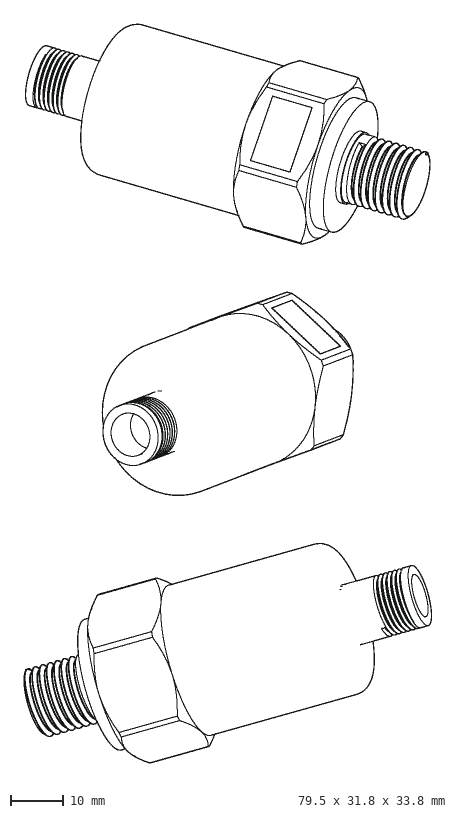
import cadquery as cq
import math


PLUG_DIA = 12.0
PLUG_BORE_DIA = 8.4
PLUG_BORE_DEPTH = 7.95
PLUG_ROOT_FILLET = 0.5
PLUG_LIP_END = 1.6
PLUG_THREAD_START = 1.3
PLUG_THREAD_PITCH = 0.95
PLUG_THREAD_DEPTH = 0.6
PLUG_THREAD_TURNS = 6.5

HOUSING_START = 14.5
HOUSING_DIA = 30.0
HOUSING_FILLET = 3.0

HEX_START = 47.55
HEX_LENGTH = 15.1
HEX_END = HEX_START + HEX_LENGTH
HEX_FLATS = HOUSING_DIA
HEX_CORNER_DIA = 33.95
HEX_TILT = 7.2
HEX_HALF_SECTOR = 360 / 6 / 2
HEX_CHAMFER_LENGTH = 1.5
HEX_CHAMFER_DROP = (HEX_CORNER_DIA - HEX_FLATS) / 2

LABEL_LENGTH = 8.3
LABEL_WIDTH = 13.2
LABEL_DEPTH = 0.1
LABEL_CENTRE_X = 54.9

FLANGE_DIA = 26.1
FLANGE_END = 65.5
COLLAR_DIA = 14.3
COLLAR_END = 66.55
PORT_DIA = 13.7
PORT_END = 79.3
PORT_THREAD_START = 68.0
PORT_THREAD_PITCH = 1.5
PORT_THREAD_DEPTH = 0.8

LUG_END = 79.5
LUG_SIZE = 0.5
LUG_RADIUS = 6.5
LUG_ANGLE = 45.0

GROOVE_MOUTH = 0.95
GROOVE_ROOT = 0.1
GROOVE_OVERSHOOT = 0.04

ORIGIN = (0, 0, 0)
X_AXIS = (1, 0, 0)
Y_AXIS = (0, 1, 0)


def cylinder(diameter, start, end):
    """Cylinder on the X axis between two X positions."""
    return cq.Workplane("YZ", origin=(start, 0, 0)).circle(diameter / 2).extrude(end - start)


def thread_groove(diameter, start, pitch, depth, turns):
    """Cutter for a right-hand V groove around X, beginning on the -Z side at X = start."""
    root = diameter / 2 - depth
    outside = diameter / 2 + GROOVE_OVERSHOOT
    half_mouth = GROOVE_MOUTH * pitch / 2
    half_root = GROOVE_ROOT * pitch / 2
    helix = cq.Wire.makeHelix(pitch, pitch * turns, root)
    groove = (
        cq.Workplane("XZ")
        .polyline([
            (root, -half_root),
            (outside, -half_mouth),
            (outside, half_mouth),
            (root, half_root),
        ])
        .close()
        .sweep(cq.Workplane(obj=helix), isFrenet=True)
    )
    return groove.rotate(ORIGIN, Y_AXIS, 90).translate((start, 0, 0))


def make_plug():
    groove = thread_groove(
        PLUG_DIA, PLUG_THREAD_START, PLUG_THREAD_PITCH, PLUG_THREAD_DEPTH, PLUG_THREAD_TURNS
    )
    plug = cylinder(PLUG_DIA, 0, HOUSING_START).cut(groove)
    plug = plug.rotate(ORIGIN, X_AXIS, 180)
    return plug.union(cylinder(PLUG_DIA, 0, PLUG_LIP_END))


def make_plug_root():
    """Ring with a concave quarter-round between the plug and the housing face."""
    radius = PLUG_DIA / 2
    tangent_x = HOUSING_START - PLUG_ROOT_FILLET
    mid = PLUG_ROOT_FILLET * math.sqrt(0.5)
    return (
        cq.Workplane("XY")
        .moveTo(tangent_x, 0)
        .lineTo(tangent_x, radius)
        .threePointArc(
            (tangent_x + mid, radius + PLUG_ROOT_FILLET - mid),
            (HOUSING_START, radius + PLUG_ROOT_FILLET),
        )
        .lineTo(HOUSING_START, 0)
        .close()
        .revolve(360, ORIGIN, X_AXIS)
    )


def make_housing():
    return cylinder(HOUSING_DIA, HOUSING_START, HEX_START).faces("<X").edges().fillet(HOUSING_FILLET)


def make_hexagon():
    prism = (
        cq.Workplane("YZ", origin=(HEX_START, 0, 0))
        .polygon(6, HEX_FLATS, circumscribed=True)
        .extrude(HEX_LENGTH)
        .rotate(ORIGIN, X_AXIS, HEX_TILT)
    )
    turned = cylinder(HEX_CORNER_DIA, HEX_START, HEX_END)
    turned = turned.faces("<X").chamfer(HEX_CHAMFER_LENGTH, HEX_CHAMFER_DROP)
    turned = turned.faces(">X").chamfer(HEX_CHAMFER_LENGTH, HEX_CHAMFER_DROP)
    return prism.intersect(turned)


def make_label_recess():
    return (
        cq.Workplane("XY", origin=(LABEL_CENTRE_X, 0, HEX_FLATS / 2 - LABEL_DEPTH))
        .rect(LABEL_LENGTH, LABEL_WIDTH)
        .extrude(HEX_CORNER_DIA - HEX_FLATS)
        .rotate(ORIGIN, X_AXIS, HEX_TILT + HEX_HALF_SECTOR)
    )


def make_port():
    turns = math.ceil((PORT_END - PORT_THREAD_START) / PORT_THREAD_PITCH) + 1
    groove = thread_groove(
        PORT_DIA, PORT_THREAD_START, PORT_THREAD_PITCH, PORT_THREAD_DEPTH, turns
    )
    port = cylinder(PORT_DIA, HEX_END, PORT_END).cut(groove)
    return port.rotate(ORIGIN, X_AXIS, 180)


def make_lug():
    length = LUG_END - PORT_END + LUG_SIZE
    return (
        cq.Workplane("XY")
        .box(length, LUG_SIZE, LUG_SIZE)
        .translate((LUG_END - length / 2, LUG_RADIUS, 0))
        .rotate(ORIGIN, X_AXIS, LUG_ANGLE)
    )


result = (
    make_housing()
    .union(make_plug())
    .union(make_plug_root())
    .union(make_hexagon())
    .union(cylinder(FLANGE_DIA, HEX_END, FLANGE_END))
    .union(make_port())
    .union(cylinder(COLLAR_DIA, FLANGE_END, COLLAR_END))
    .union(make_lug())
    .cut(make_label_recess())
    .cut(cylinder(PLUG_BORE_DIA, 0, PLUG_BORE_DEPTH))
)